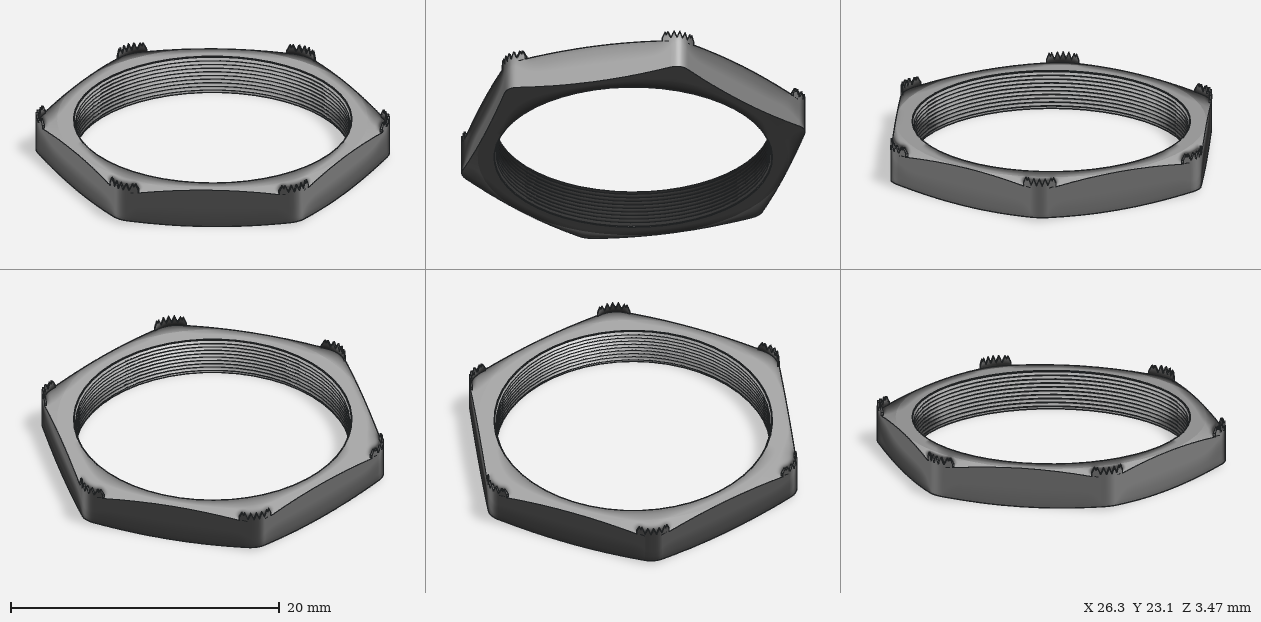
import cadquery as cq
import math

across_flats = 23.12
across_corners = 26.3
body_height = 3.05
face_cone_angle = 15.0
corner_count = 6

bore_radius = 10.2
mouth_bevel = 0.15
mouth_bevel_angle = 45.0
thread_groove_count = 10
thread_angle = 60.0

overall_height = 3.47
lip_half_width = 1.2
lip_thickness = 0.15
lip_inner_radius = 1.68
tooth_pitch = 0.42
teeth_each_side = 2
tooth_flank_slope = 2.5
end_tooth_offset = 1.03

apothem = across_flats / 2
corner_radius_to_axis = across_corners / 2
sharp_corner = apothem / math.cos(math.pi / corner_count)
corner_overshoot = 1 / math.cos(math.pi / corner_count) - 1
corner_fillet = (sharp_corner - corner_radius_to_axis) / corner_overshoot
cone_drop = (sharp_corner - apothem) * math.tan(math.radians(face_cone_angle))


def make_hex_prism(height):
    """Upright hexagonal prism with rounded corners, one of them on +X."""
    prism = cq.Workplane("XY").polygon(corner_count, 2 * sharp_corner).extrude(height)
    return prism.edges("|Z").fillet(corner_fillet)


def make_face_envelope():
    """Solid of revolution that bevels the corners of the top and bottom faces."""
    profile = [
        (0, 0),
        (apothem, 0),
        (sharp_corner, cone_drop),
        (sharp_corner, body_height - cone_drop),
        (apothem, body_height),
        (0, body_height),
    ]
    return cq.Workplane("XZ").polyline(profile).close().revolve(360, (0, 0), (0, 1))


def make_threaded_bore():
    """Bore whose wall is a stack of V-shaped grooves, with a bevel at both mouths."""
    thread_pitch = body_height / thread_groove_count
    thread_depth = thread_pitch / 2 / math.tan(math.radians(thread_angle / 2))

    profile = [(0, 0), (bore_radius, 0)]
    for index in range(thread_groove_count):
        groove_start = index * thread_pitch
        profile.append((bore_radius + thread_depth, groove_start + thread_pitch / 2))
        profile.append((bore_radius, groove_start + thread_pitch))
    profile.append((0, body_height))
    bore = cq.Workplane("XZ").polyline(profile).close().revolve(360, (0, 0), (0, 1))

    mouth_circle = cq.Workplane("XY").circle(bore_radius + mouth_bevel)
    bottom_mouth = mouth_circle.extrude(mouth_bevel, taper=mouth_bevel_angle)
    top_mouth = bottom_mouth.mirror("XY").translate((0, 0, body_height))
    return bore.union(bottom_mouth).union(top_mouth)


def make_tooth_comb():
    """Saw-tooth plate across the +X corner; neighbouring flanks meet halfway between their peaks."""
    inner_peaks = [index * tooth_pitch for index in range(-teeth_each_side, teeth_each_side + 1)]
    peaks = [-end_tooth_offset] + inner_peaks + [end_tooth_offset]
    end_height = overall_height - (lip_half_width - end_tooth_offset) * tooth_flank_slope
    lip_base = body_height / 2

    profile = [(-lip_half_width, lip_base), (-lip_half_width, end_height)]
    for peak, next_peak in zip(peaks, peaks[1:]):
        valley_height = overall_height - (next_peak - peak) / 2 * tooth_flank_slope
        profile.append((peak, overall_height))
        profile.append(((peak + next_peak) / 2, valley_height))
    profile.append((end_tooth_offset, overall_height))
    profile.append((lip_half_width, end_height))
    profile.append((lip_half_width, lip_base))
    return cq.Workplane("YZ").polyline(profile).close().extrude(sharp_corner)


def make_lip_block():
    """Serrated block at the +X corner, hollowed behind so that a thin wall remains at the rim."""
    inner_center = corner_radius_to_axis - lip_thickness - lip_inner_radius
    inside = cq.Workplane("XY").center(inner_center, 0).circle(lip_inner_radius).extrude(overall_height)
    inner_block = cq.Workplane("XY").box(
        inner_center, 2 * lip_inner_radius, overall_height, centered=(False, True, False)
    )
    return make_tooth_comb().cut(inside).cut(inner_block)


envelope = make_face_envelope()
lip_block = make_lip_block()
for corner in range(corner_count):
    turn = corner * 360 / corner_count
    envelope = envelope.union(lip_block.rotate((0, 0, 0), (0, 0, 1), turn))

result = make_hex_prism(overall_height).intersect(envelope).cut(make_threaded_bore())